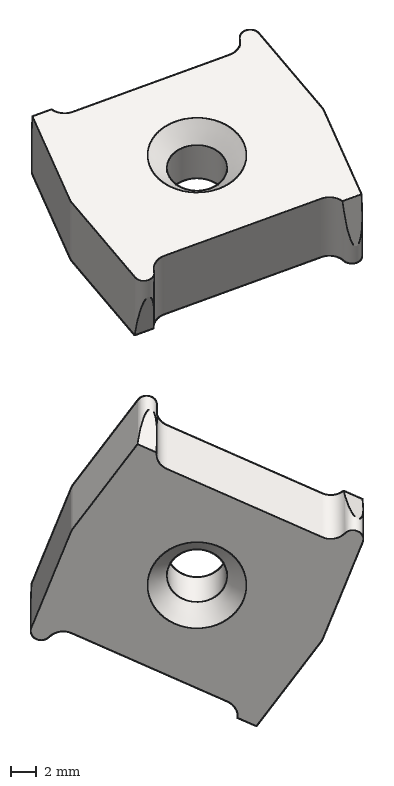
import cadquery as cq
import math

length = 21.9
width = 19.95
thickness = 7.0

waist_width = 16.51
waist_length = 13.6
lip_diameter = 1.65
lip_center_y = 9.02
tip_flat_width = 0.26

hole_diameter = 4.7
countersink_diameter = 7.73

relief_inset = 0.77
relief_height = 5.0
relief_margin = 0.44

lip_radius = lip_diameter / 2
lip_center_x = width / 2 - lip_radius
lip_offset_x = lip_center_x - waist_width / 2
lip_offset_y = lip_center_y - waist_length / 2
hollow_radius = (lip_offset_x**2 + lip_offset_y**2 - lip_radius**2) / (2 * (lip_offset_x + lip_radius))
hollow_center_x = waist_width / 2 + hollow_radius
hollow_center_y = waist_length / 2

run = lip_center_x - tip_flat_width / 2
drop = length / 2 - lip_center_y
edge_normal = math.atan2(drop, -run) - math.acos(lip_radius / math.hypot(run, drop))
join_angle = math.atan2(lip_center_y - hollow_center_y, lip_center_x - hollow_center_x)


def on_circle(center_x, center_y, radius, angle):
    return (center_x + radius * math.cos(angle), center_y + radius * math.sin(angle))


def corner():
    """One quarter of the plate, in the +X +Y quadrant."""
    lip_start = on_circle(lip_center_x, lip_center_y, lip_radius, edge_normal)
    lip_nose = (width / 2, lip_center_y)
    join = on_circle(hollow_center_x, hollow_center_y, hollow_radius, join_angle)
    hollow_middle = on_circle(hollow_center_x, hollow_center_y, hollow_radius, (join_angle + math.pi) / 2)
    return (
        cq.Workplane("XY")
        .moveTo(0, 0)
        .lineTo(0, length / 2)
        .lineTo(tip_flat_width / 2, length / 2)
        .lineTo(*lip_start)
        .threePointArc(lip_nose, join)
        .threePointArc(hollow_middle, (waist_width / 2, waist_length / 2))
        .lineTo(waist_width / 2, 0)
        .close()
        .extrude(thickness / 2, both=True)
    )


def plate():
    half = corner().union(corner().mirror("YZ"))
    return half.union(half.mirror("XZ")).clean()


def screw_hole():
    hole_radius = hole_diameter / 2
    sink_radius = countersink_diameter / 2
    sink_depth = sink_radius - hole_radius
    top = thickness / 2
    return (
        cq.Workplane("XZ")
        .polyline([
            (0, -top),
            (sink_radius, -top),
            (hole_radius, sink_depth - top),
            (hole_radius, top - sink_depth),
            (sink_radius, top),
            (0, top),
        ])
        .close()
        .revolve(360, (0, 0, 0), (0, 1, 0))
    )


def lip_relief():
    """Wedge that relieves the +X +Y lip, deepest at the top face."""
    slope = relief_inset / relief_height
    top = thickness / 2 + relief_margin
    outer_x = width / 2 + relief_margin
    return (
        cq.Workplane("XZ")
        .polyline([
            (width / 2 - relief_inset - relief_margin * slope, top),
            (outer_x, top),
            (outer_x, thickness / 2 - relief_height - relief_margin / slope),
        ])
        .close()
        .extrude(-length / 2)
        .intersect(
            cq.Workplane("XY")
            .box(width, length / 2 - hollow_center_y, 2 * thickness)
            .translate((width / 2, (length / 2 + hollow_center_y) / 2, 0))
        )
    )


result = plate().cut(screw_hole())
for turn_about_z in (0, 180):
    for turn_about_x in (0, 180):
        relief = lip_relief().rotate((0, 0, 0), (1, 0, 0), turn_about_x)
        result = result.cut(relief.rotate((0, 0, 0), (0, 0, 1), turn_about_z))